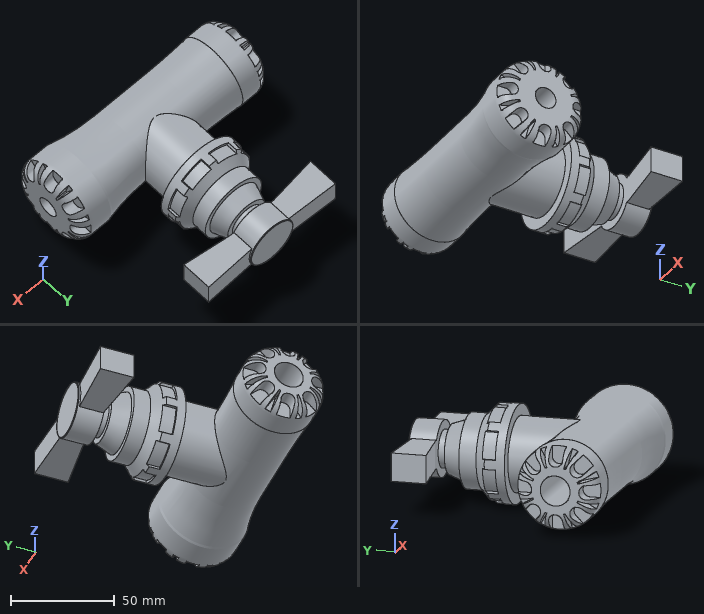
import cadquery as cq
import math

run_length = 129.0
run_end = run_length / 2
waist_d = 40.0
waist_start_x = -18.5
waist_end_x = 16.5

left_cap_d = 42.0
left_cap_round = 9.2
left_cap_length = 19.4
right_cap_d = 47.0
right_cap_round = 8.3
right_cap_length = 19.7
left_lip_width = 0.4
left_lip_height = 0.1
right_lip_width = 1.3
right_lip_height = 0.4

grip_count = 8
left_grip_depth = 7.4
left_pocket_width = 7.1
right_grip_depth = 6.6
right_pocket_width = 6.7
wedge_inner_width = 0.8
wedge_outer_width = 3.1
wedge_inset = 0.3

bore_d = 11.4
socket_d = 15.0
socket_end_x = waist_start_x

branch_d = 37.5
ring_d = 49.3
ring_bottom_y = 37.3
bonnet_bottom_y = 53.3
bonnet_top_y = 61.9
neck_bottom_d = 31.5
neck_top_d = 25.0
neck_top_y = 71.1
stem_d = 18.8

pad_count = 8
pad_angle = 33.6
pad_floor_d = 46.5
pad_bottom_y = 41.9
pad_top_y = 48.9

hub_d = 28.3
hub_bottom_y = 75.1
hub_top_y = 89.0
hub_chamfer = 0.4
wing_span = 84.4
wing_thickness = 14.2
wing_tip_bottom_y = 71.5
wing_root_top_y = 87.7

cutter_overshoot = 1.3


def revolved(profile, axis_end):
    """Solid of revolution of an XY profile about a line through the origin."""
    return profile.close().revolve(360, (0, 0, 0), axis_end)


def run_pipe():
    """Waisted tube body with a rounded cap at each end."""
    waist_r = waist_d / 2
    left_r = left_cap_d / 2
    right_r = right_cap_d / 2
    left_joint_x = -run_end + left_cap_length
    right_lip_x = run_end - right_cap_length
    taper_start_x = left_joint_x + left_lip_width
    taper_start_r = left_r - left_lip_height
    taper_middle_x = (taper_start_x + waist_start_x) / 2
    taper_middle_r = waist_r + (taper_start_r - waist_r) / 4
    diagonal = math.sqrt(0.5)
    left_centre = (-run_end + left_cap_round, left_r - left_cap_round)
    right_centre = (run_end - right_cap_round, right_r - right_cap_round)
    left_middle = (
        left_centre[0] - left_cap_round * diagonal,
        left_centre[1] + left_cap_round * diagonal,
    )
    right_middle = (
        right_centre[0] + right_cap_round * diagonal,
        right_centre[1] + right_cap_round * diagonal,
    )
    profile = (
        cq.Workplane("XY")
        .moveTo(-run_end, 0)
        .lineTo(-run_end, left_centre[1])
        .threePointArc(left_middle, (left_centre[0], left_r))
        .lineTo(left_joint_x, left_r)
        .lineTo(taper_start_x, taper_start_r)
        .threePointArc((taper_middle_x, taper_middle_r), (waist_start_x, waist_r))
        .lineTo(waist_end_x, waist_r)
        .tangentArcPoint((right_lip_x - right_lip_width, right_r - right_lip_height), relative=False)
        .lineTo(right_lip_x, right_r)
        .lineTo(right_centre[0], right_r)
        .threePointArc(right_middle, (run_end, right_centre[1]))
        .lineTo(run_end, 0)
    )
    return revolved(profile, (1, 0, 0))


def grip_cutters(start_x, depth, face_r, cap_r, pocket_width):
    """Ring of pockets and wedges cut in the X direction, reaching from the flat face outwards."""
    plane = cq.Workplane("YZ").workplane(offset=start_x)
    pocket_r = pocket_width / 2
    outer_r = cap_r + cutter_overshoot
    pocket = (
        plane.moveTo(outer_r, -pocket_r)
        .lineTo(face_r + pocket_r, -pocket_r)
        .threePointArc((face_r, 0), (face_r + pocket_r, pocket_r))
        .lineTo(outer_r, pocket_r)
        .close()
        .extrude(depth)
    )
    wedge = (
        plane.moveTo(face_r + wedge_inset, -wedge_inner_width / 2)
        .lineTo(cap_r, -wedge_outer_width / 2)
        .lineTo(cap_r, wedge_outer_width / 2)
        .lineTo(face_r + wedge_inset, wedge_inner_width / 2)
        .close()
        .extrude(depth)
    )
    pitch = 360 / grip_count
    cutters = cq.Workplane("XY")
    for i in range(grip_count):
        cutters = cutters.add(pocket.rotate((0, 0, 0), (1, 0, 0), i * pitch))
        cutters = cutters.add(wedge.rotate((0, 0, 0), (1, 0, 0), (i + 0.5) * pitch))
    return cutters.combine()


def branch_and_stem():
    """Branch, ring, bonnet, tapered neck and stem turned about the Y axis."""
    branch_r = branch_d / 2
    ring_r = ring_d / 2
    ring_top_y = bonnet_bottom_y - (ring_r - branch_r)
    profile = (
        cq.Workplane("XY")
        .lineTo(branch_r, 0)
        .lineTo(branch_r, ring_bottom_y)
        .lineTo(ring_r, ring_bottom_y)
        .lineTo(ring_r, ring_top_y)
        .lineTo(branch_r, bonnet_bottom_y)
        .lineTo(branch_r, bonnet_top_y)
        .lineTo(neck_bottom_d / 2, bonnet_top_y)
        .lineTo(neck_top_d / 2, neck_top_y)
        .lineTo(stem_d / 2, neck_top_y)
        .lineTo(stem_d / 2, hub_bottom_y)
        .lineTo(0, hub_bottom_y)
    )
    return revolved(profile, (0, 1, 0))


def pad_cutters():
    """Curved recesses spaced evenly around the ring, with ribs left between them."""
    inner_r = pad_floor_d / 2
    outer_r = ring_d / 2 + cutter_overshoot
    pitch = 360 / pad_count
    profile = (
        cq.Workplane("XY")
        .moveTo(inner_r, pad_bottom_y)
        .lineTo(outer_r, pad_bottom_y)
        .lineTo(outer_r, pad_top_y)
        .lineTo(inner_r, pad_top_y)
        .close()
    )
    pad = profile.revolve(pad_angle, (0, 0, 0), (0, 1, 0))
    cutters = cq.Workplane("XY")
    for i in range(pad_count):
        angle = (i + 0.5) * pitch - pad_angle / 2
        cutters = cutters.add(pad.rotate((0, 0, 0), (0, 1, 0), angle))
    return cutters.combine()


def handle():
    """Round hub with two wings that widen towards their tips."""
    hub_r = hub_d / 2
    tip_x = wing_span / 2
    root_x = math.sqrt(hub_r**2 - (wing_thickness / 2) ** 2)
    hub_profile = (
        cq.Workplane("XY")
        .moveTo(0, hub_bottom_y)
        .lineTo(hub_r, hub_bottom_y)
        .lineTo(hub_r, hub_top_y - hub_chamfer)
        .lineTo(hub_r - hub_chamfer, hub_top_y)
        .lineTo(0, hub_top_y)
    )
    wing = (
        cq.Workplane("XY")
        .moveTo(0, hub_bottom_y)
        .lineTo(hub_r, hub_bottom_y)
        .lineTo(tip_x, wing_tip_bottom_y)
        .lineTo(tip_x, hub_top_y)
        .lineTo(root_x, wing_root_top_y)
        .lineTo(0, wing_root_top_y)
        .close()
        .extrude(wing_thickness / 2, both=True)
    )
    return revolved(hub_profile, (0, 1, 0)).union(wing).union(wing.mirror("YZ"))


def bore():
    """Through bore along the run, opened to a wider socket at the left end."""
    through = cq.Workplane("YZ").workplane(offset=-run_end).circle(bore_d / 2).extrude(run_length)
    socket = (
        cq.Workplane("YZ")
        .workplane(offset=-run_end)
        .circle(socket_d / 2)
        .extrude(run_end + socket_end_x)
    )
    return through.union(socket)


left_grips = grip_cutters(
    -run_end,
    left_grip_depth,
    left_cap_d / 2 - left_cap_round,
    left_cap_d / 2,
    left_pocket_width,
)
right_grips = grip_cutters(
    run_end - right_grip_depth,
    right_grip_depth,
    right_cap_d / 2 - right_cap_round,
    right_cap_d / 2,
    right_pocket_width,
)

valve_stem = branch_and_stem().cut(pad_cutters()).union(handle())
result = run_pipe().cut(left_grips).cut(right_grips).union(valve_stem).cut(bore())